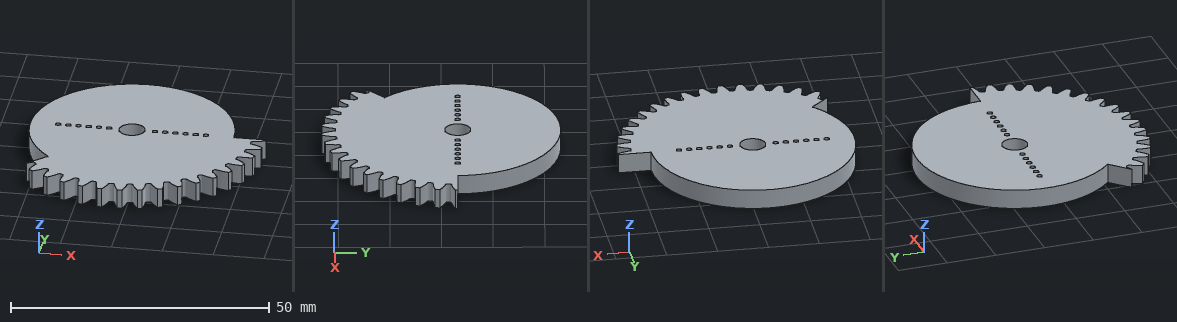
import cadquery as cq
import math

OVERALL_LENGTH = 46.35
THICKNESS = 4.0
DISK_RADIUS = 20.0

TOOTH_COUNT = 42
PRESSURE_ANGLE = math.radians(20)
SECTOR_START = -135.0
SECTOR_END = 0.0
DEDENDUM_IN_MODULES = 1.25
ROOT_FILLET_IN_MODULES = 0.38

TIP_RADIUS = OVERALL_LENGTH - DISK_RADIUS
MODULE = TIP_RADIUS / (TOOTH_COUNT / 2 + 1)
PITCH_RADIUS = TIP_RADIUS - MODULE
ROOT_RADIUS = PITCH_RADIUS - DEDENDUM_IN_MODULES * MODULE
BASE_RADIUS = PITCH_RADIUS * math.cos(PRESSURE_ANGLE)
ROOT_FILLET = ROOT_FILLET_IN_MODULES * MODULE
TOOTH_PITCH = 2 * math.pi / TOOTH_COUNT
FLANK_POINTS = 5

BORE_DIAMETER = 5.0
PIN_HOLE_DIAMETER = 1.0
PIN_HOLES_PER_SIDE = 6
PIN_HOLE_FIRST = 4.5
PIN_HOLE_LAST = 14.5


def polar(radius, angle):
    """Point at the given radius and angle (radians)."""
    return (radius * math.cos(angle), radius * math.sin(angle))


def involute(angle):
    """Involute function of a pressure angle (radians)."""
    return math.tan(angle) - angle


def tooth_half_angle(radius):
    """Half the angle that an involute tooth spans at the given radius."""
    local_pressure_angle = math.acos(BASE_RADIUS / radius)
    return TOOTH_PITCH / 4 + involute(PRESSURE_ANGLE) - involute(local_pressure_angle)


def gear_blank():
    """Full gear disk with a tooth centred on +X and filleted tooth roots."""
    fillet_center_radius = ROOT_RADIUS + ROOT_FILLET
    fillet_center_angle = tooth_half_angle(fillet_center_radius) + ROOT_FILLET / BASE_RADIUS
    flank_start_roll = math.sqrt(fillet_center_radius**2 - BASE_RADIUS**2) - ROOT_FILLET
    flank_start_radius = math.hypot(BASE_RADIUS, flank_start_roll)
    flank_step = (TIP_RADIUS - flank_start_radius) / (FLANK_POINTS - 1)
    flank_radii = [flank_start_radius + i * flank_step for i in range(FLANK_POINTS)]

    fillet_center = cq.Vector(*polar(fillet_center_radius, fillet_center_angle))
    flank_contact = cq.Vector(*polar(flank_start_radius, tooth_half_angle(flank_start_radius)))
    root_contact = cq.Vector(*polar(ROOT_RADIUS, fillet_center_angle))
    toward_middle = (flank_contact + root_contact) * 0.5 - fillet_center
    fillet_middle = fillet_center + toward_middle.normalized() * ROOT_FILLET
    middle_radius = fillet_middle.Length
    middle_angle = math.atan2(fillet_middle.y, fillet_middle.x)

    outline = cq.Workplane("XY").moveTo(*polar(ROOT_RADIUS, -fillet_center_angle))
    for tooth in range(TOOTH_COUNT):
        center = tooth * TOOTH_PITCH
        next_center = center + TOOTH_PITCH
        rising = [polar(r, center - tooth_half_angle(r)) for r in flank_radii]
        falling = [polar(r, center + tooth_half_angle(r)) for r in reversed(flank_radii)]
        outline = (
            outline.threePointArc(polar(middle_radius, center - middle_angle), rising[0])
            .spline(rising[1:], includeCurrent=True)
            .threePointArc(polar(TIP_RADIUS, center), falling[0])
            .spline(falling[1:], includeCurrent=True)
            .threePointArc(
                polar(middle_radius, center + middle_angle),
                polar(ROOT_RADIUS, center + fillet_center_angle),
            )
            .threePointArc(
                polar(ROOT_RADIUS, center + TOOTH_PITCH / 2),
                polar(ROOT_RADIUS, next_center - fillet_center_angle),
            )
        )
    return outline.close().extrude(THICKNESS)


def sector_wedge():
    """Wedge that reaches past the teeth and bounds the toothed sector."""
    reach = 2 * TIP_RADIUS
    start = math.radians(SECTOR_START)
    end = math.radians(SECTOR_END)
    return (
        cq.Workplane("XY")
        .lineTo(*polar(reach, start))
        .threePointArc(polar(reach, (start + end) / 2), polar(reach, end))
        .close()
        .extrude(THICKNESS)
    )


def pin_hole_places():
    """Centres of the two rows of pin holes along the X axis."""
    spacing = (PIN_HOLE_LAST - PIN_HOLE_FIRST) / (PIN_HOLES_PER_SIDE - 1)
    offsets = [PIN_HOLE_FIRST + i * spacing for i in range(PIN_HOLES_PER_SIDE)]
    return [(side * offset, 0) for side in (-1, 1) for offset in offsets]


disk = cq.Workplane("XY").circle(DISK_RADIUS).extrude(THICKNESS)
toothed_sector = gear_blank().intersect(sector_wedge())
bore = cq.Workplane("XY").circle(BORE_DIAMETER / 2).extrude(THICKNESS)
pin_holes = (
    cq.Workplane("XY")
    .pushPoints(pin_hole_places())
    .circle(PIN_HOLE_DIAMETER / 2)
    .extrude(THICKNESS)
)

result = disk.union(toothed_sector).cut(bore).cut(pin_holes)